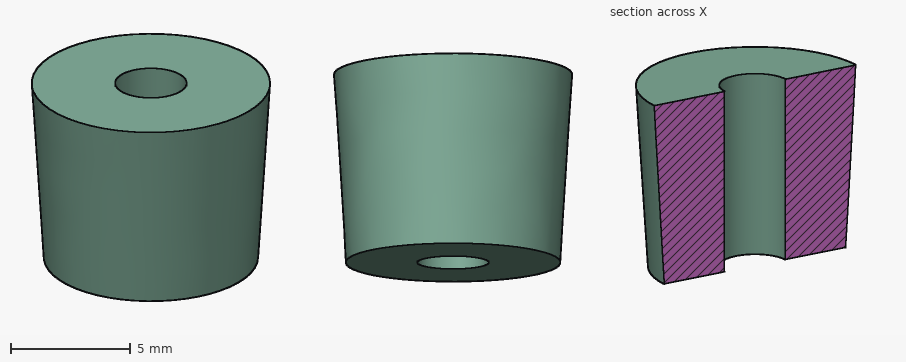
import cadquery as cq

top_diameter = 10.0
bottom_diameter = 9.0
height = 8.0
bore_diameter = 3.0

top_radius = top_diameter / 2
bottom_radius = bottom_diameter / 2
bore_radius = bore_diameter / 2

half_section = (
    cq.Workplane("XZ")
    .moveTo(bore_radius, 0)
    .lineTo(bottom_radius, 0)
    .lineTo(top_radius, height)
    .lineTo(bore_radius, height)
    .close()
)

result = half_section.revolve(360, (0, 0, 0), (0, 1, 0))